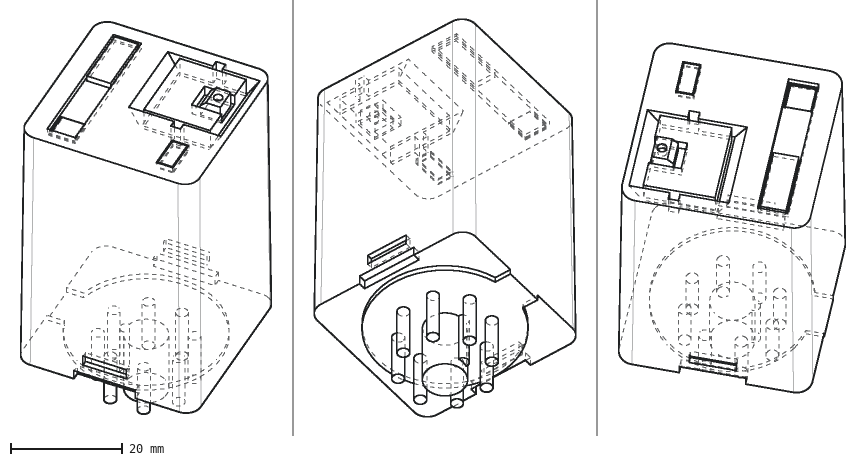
import cadquery as cq
import math

TOTAL_HEIGHT = 70.1
COVER_LENGTH = 35.55
COVER_WIDTH = 35.0
COVER_TOP = 69.0
COVER_BOTTOM = 14.1
COVER_DRAFT = 0.5
CORNER_RADIUS = 2.95

WINDOW_LENGTH = 8.6
WINDOW_HEIGHT = 2.2
WINDOW_BOTTOM = 18.1
WINDOW_DEPTH = 1.1
NOTCH_LENGTH = 12.2
NOTCH_HEIGHT = 1.95
NOTCH_DEPTH = 1.55

PLATE_RADIUS = 14.9
PLATE_BOTTOM = 13.0
PLATE_OVERLAP = 0.7
TAB_WIDTH = 8.2

PIN_COUNT = 8
PIN_CIRCLE_RADIUS = 8.7
PIN_RADIUS = 1.16
PIN_BOTTOM = 2.45
SPIGOT_RADIUS = 4.1
KEY_RADIUS = PIN_RADIUS
KEY_REACH = 5.2
KEY_BOTTOM = 2.0

SLOT_X = (-13.1, -7.6)
SLOT_Y = (-13.8, 14.1)
SLOT_DEPTH = 1.2
SLIDER_GAP = 0.4
SLIDER_FRONT_Y = 2.0
INSERT_BACK_Y = -8.6
INSERT_LEDGE = 0.2
INSERT_GROOVE = 0.2
INSERT_GROOVE_DEPTH = 0.4
INSERT_DROP = 0.1

BUTTON_X = (8.5, 11.8)
BUTTON_Y = (-13.6, -7.0)
BUTTON_GAP = 0.2
BUTTON_GROOVE_DEPTH = SLOT_DEPTH

POCKET_X = (-2.3, 16.0)
POCKET_Y = (-2.3, 14.1)
POCKET_DEPTH = 4.1
LEFT_SLOPE_RUN = 2.25
RIGHT_SLOPE_RUN = 2.45
EAR_X = (6.65, 8.55)
EAR_REACH = 1.3

PANEL_LEFT = 0.35
PANEL_RIGHT = POCKET_X[1] - RIGHT_SLOPE_RUN
PANEL_GAP = 0.6
PANEL_DROP = 0.1
RECESS_LEFT = 7.6
RECESS_WIDTH = 5.5
RECESS_DEPTH = 2.1
LEVER_X = (9.1, 13.1)
LEVER_WIDTH = 4.4
LEVER_Y = 5.75
LEVER_CHAMFER = TOTAL_HEIGHT - COVER_TOP
LEVER_HOLE_X = 11.65
LEVER_HOLE_RADIUS = 0.85
LEVER_HOLE_DEPTH = 1.4


def block(x_span, y_span, z_span):
    """Box between the given limits on each axis."""
    size = [span[1] - span[0] for span in (x_span, y_span, z_span)]
    corner = (x_span[0], y_span[0], z_span[0])
    return cq.Workplane("XY").box(*size, centered=False).translate(corner)


def centred(width, middle=0.0):
    """Span of the given width about a middle value."""
    return (middle - width / 2, middle + width / 2)


def inset(span, gap):
    """Span shrunk by the same gap at both ends."""
    return (span[0] + gap, span[1] - gap)


def post(radius, bottom, top, x=0.0, y=0.0):
    """Upright cylinder."""
    return cq.Workplane("XY", origin=(x, y, bottom)).circle(radius).extrude(top - bottom)


def make_cover():
    """Drafted case whose lowest layer is trimmed down to the -X tab."""
    cover = (
        cq.Workplane("XY", origin=(0, 0, PLATE_BOTTOM))
        .rect(COVER_LENGTH, COVER_WIDTH)
        .extrude(COVER_TOP - PLATE_BOTTOM, taper=COVER_DRAFT)
    )
    cover = cover.edges("not(|X or |Y)").fillet(CORNER_RADIUS)
    half_length = COVER_LENGTH / 2
    half_width = COVER_WIDTH / 2
    skirt_z = (PLATE_BOTTOM, COVER_BOTTOM)
    skirt = block(centred(COVER_LENGTH), centred(COVER_WIDTH), skirt_z)
    tab = block((-half_length, 0), centred(TAB_WIDTH), skirt_z)
    cover = cover.cut(skirt.cut(tab))
    window_z = (WINDOW_BOTTOM, WINDOW_BOTTOM + WINDOW_HEIGHT)
    notch_z = (COVER_BOTTOM, COVER_BOTTOM + NOTCH_HEIGHT)
    window = block(centred(WINDOW_LENGTH), (-half_width, WINDOW_DEPTH - half_width), window_z)
    notch = block(centred(NOTCH_LENGTH), (-half_width, NOTCH_DEPTH - half_width), notch_z)
    for opening in (window, notch):
        cover = cover.cut(opening).cut(opening.mirror("XZ"))
    return cover


def make_base():
    plate_top = COVER_BOTTOM + PLATE_OVERLAP
    base = post(PLATE_RADIUS, PLATE_BOTTOM, plate_top)
    base = base.union(post(SPIGOT_RADIUS, 0, plate_top))
    base = base.union(post(KEY_RADIUS, KEY_BOTTOM, plate_top, x=KEY_RADIUS - KEY_REACH))
    for index in range(PIN_COUNT):
        angle = 2 * math.pi * (index + 0.5) / PIN_COUNT
        pin_x = PIN_CIRCLE_RADIUS * math.cos(angle)
        pin_y = PIN_CIRCLE_RADIUS * math.sin(angle)
        base = base.union(post(PIN_RADIUS, PIN_BOTTOM, plate_top, pin_x, pin_y))
    return base


def cut_slot(body):
    floor = COVER_TOP - SLOT_DEPTH
    body = body.cut(block(SLOT_X, SLOT_Y, (floor, COVER_TOP)))
    slider_y = (SLIDER_FRONT_Y, SLOT_Y[1] - SLIDER_GAP)
    body = body.union(block(inset(SLOT_X, SLIDER_GAP), slider_y, (floor, COVER_TOP)))
    groove_floor = floor - INSERT_GROOVE_DEPTH
    groove_y = (SLOT_Y[0] + INSERT_LEDGE, INSERT_BACK_Y)
    body = body.cut(block(inset(SLOT_X, INSERT_LEDGE), groove_y, (groove_floor, floor)))
    insert_x = inset(SLOT_X, INSERT_LEDGE + INSERT_GROOVE)
    insert_y = (groove_y[0] + INSERT_GROOVE, INSERT_BACK_Y)
    return body.union(block(insert_x, insert_y, (groove_floor, floor - INSERT_DROP)))


def cut_button_groove(body):
    depth = (COVER_TOP - BUTTON_GROOVE_DEPTH, COVER_TOP)
    button = block(inset(BUTTON_X, BUTTON_GAP), inset(BUTTON_Y, BUTTON_GAP), depth)
    return body.cut(block(BUTTON_X, BUTTON_Y, depth).cut(button))


def cut_pocket(body):
    floor = COVER_TOP - POCKET_DEPTH
    pocket = (
        cq.Workplane("XZ", origin=(0, POCKET_Y[1], 0))
        .moveTo(POCKET_X[0], COVER_TOP)
        .lineTo(POCKET_X[0] + LEFT_SLOPE_RUN, floor)
        .lineTo(POCKET_X[1] - RIGHT_SLOPE_RUN, floor)
        .lineTo(POCKET_X[1], COVER_TOP)
        .close()
        .extrude(POCKET_Y[1] - POCKET_Y[0])
    )
    ears = block(EAR_X, inset(POCKET_Y, -EAR_REACH), (floor, COVER_TOP))
    return body.cut(pocket).cut(ears)


def add_panel(body):
    floor = COVER_TOP - POCKET_DEPTH
    panel_top = COVER_TOP - PANEL_DROP
    recess_floor = panel_top - RECESS_DEPTH
    panel = block((PANEL_LEFT, PANEL_RIGHT), inset(POCKET_Y, PANEL_GAP), (floor, panel_top))
    recess_y = centred(RECESS_WIDTH, sum(POCKET_Y) / 2)
    panel = panel.cut(block((RECESS_LEFT, PANEL_RIGHT), recess_y, (recess_floor, panel_top)))
    lever = block(LEVER_X, centred(LEVER_WIDTH, LEVER_Y), (recess_floor, TOTAL_HEIGHT))
    lever = lever.edges("<X and >Z").chamfer(LEVER_CHAMFER)
    hole_bottom = TOTAL_HEIGHT - LEVER_HOLE_DEPTH
    lever = lever.cut(post(LEVER_HOLE_RADIUS, hole_bottom, TOTAL_HEIGHT, LEVER_HOLE_X, LEVER_Y))
    return body.union(panel).union(lever)


result = make_cover().union(make_base())
result = cut_slot(result)
result = cut_button_groove(result)
result = cut_pocket(result)
result = add_panel(result)